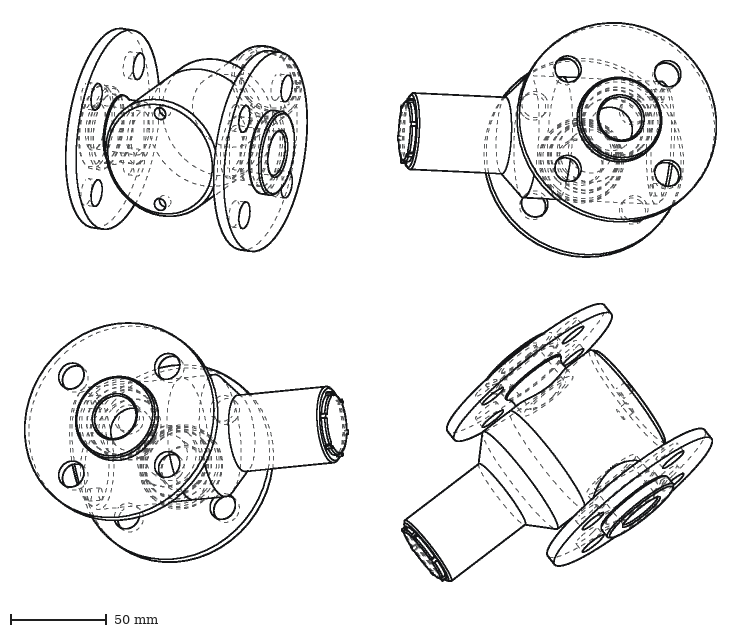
import cadquery as cq
import math


FLANGE_DIAMETER = 105.0
FLANGE_INNER_X = 39.3
FLANGE_OUTER_X = 45.3
FLANGE_BORE = 36.5
BOLT_HOLE_DIAMETER = 14.0
BOLT_SPACING = 53.1

BODY_DIAMETER = 64.0
BODY_BOTTOM_Y = -33.2
BODY_CHAMFER = 2.0
SPLIT_Y = 21.5
CONE_START_Y = 39.3
STEM_DIAMETER = 40.0
STEM_CHAMFER = 1.1
PIN_HOLE_DIAMETER = 6.5
PIN_HOLE_OFFSET = 25.0
PIN_HOLE_DEPTH = 6.3

OVERALL_LENGTH = 156.7
CAP_TOP_Y = OVERALL_LENGTH - FLANGE_DIAMETER / 2
CAP_HEIGHT = 2.8
CAP_DIAMETER = 32.1
CAP_CHAMFER = 1.0
RIB_COUNT = 6
RIB_REACH = 17.2
RIB_WIDTH = 2.2
STEM_TOP_Y = CAP_TOP_Y - CAP_HEIGHT

OVERALL_WIDTH = 104.5
STUB_OUTER_X = OVERALL_WIDTH / 2
STUB_SEAT_X = 26.6
PIPE_DIAMETER = 32.8
PIPE_END_X = 35.3
NECK_DIAMETER = 36.0
NECK_START_X = 38.5
COLLAR_DIAMETER = 44.0
COLLAR_CHAMFER = 1.0
BORE_DIAMETER = 23.0
BORE_CHAMFER = 1.0


def y_cylinder(diameter, start_y, end_y):
    """Cylinder on the stem axis between two heights along Y."""
    base = cq.Workplane("XZ", origin=(0, start_y, 0))
    return base.circle(diameter / 2).extrude(start_y - end_y)


def x_cylinder(diameter, start_x, end_x):
    """Cylinder on the flow axis between two places along X."""
    base = cq.Workplane("YZ", origin=(start_x, 0, 0))
    return base.circle(diameter / 2).extrude(end_x - start_x)


def make_housing():
    """Cylinder with two blind pin holes underneath and a flat-bottomed stub socket on each side."""
    body = y_cylinder(BODY_DIAMETER, BODY_BOTTOM_Y, SPLIT_Y)
    body = body.faces("<Y").chamfer(BODY_CHAMFER)
    pin_hole = y_cylinder(PIN_HOLE_DIAMETER, BODY_BOTTOM_Y, BODY_BOTTOM_Y + PIN_HOLE_DEPTH)
    for side in (-1, 1):
        body = body.cut(pin_hole.translate((0, 0, side * PIN_HOLE_OFFSET)))
        body = body.cut(x_cylinder(PIPE_DIAMETER, side * STUB_SEAT_X, side * STUB_OUTER_X))
    return body


def make_bonnet():
    """Turned bonnet: a wide rim, a cone and a long stem with a chamfered end."""
    body_radius = BODY_DIAMETER / 2
    stem_radius = STEM_DIAMETER / 2
    cone_height = body_radius - stem_radius
    outline = (
        cq.Workplane("XY")
        .moveTo(0, SPLIT_Y)
        .lineTo(body_radius, SPLIT_Y)
        .lineTo(body_radius, CONE_START_Y)
        .lineTo(stem_radius, CONE_START_Y + cone_height)
        .lineTo(stem_radius, STEM_TOP_Y - STEM_CHAMFER)
        .lineTo(stem_radius - STEM_CHAMFER, STEM_TOP_Y)
        .lineTo(0, STEM_TOP_Y)
        .close()
    )
    return outline.revolve(360, (0, 0, 0), (0, 1, 0))


def make_cap():
    """Low disc with a chamfered top edge and radial ribs around it."""
    cap = y_cylinder(CAP_DIAMETER, STEM_TOP_Y, CAP_TOP_Y)
    cap = cap.faces(">Y").chamfer(CAP_CHAMFER)
    rib = (
        cq.Workplane("XY")
        .box(RIB_REACH, CAP_HEIGHT, RIB_WIDTH, centered=(False, False, True))
        .translate((0, STEM_TOP_Y, 0))
    )
    for index in range(RIB_COUNT):
        angle = index * 360 / RIB_COUNT
        cap = cap.union(rib.rotate((0, 0, 0), (0, 1, 0), angle))
    return cap


def make_stub(side):
    """Bored pipe stub with a neck for the loose flange and a collar outside it."""
    pipe_radius = PIPE_DIAMETER / 2
    neck_radius = NECK_DIAMETER / 2
    collar_radius = COLLAR_DIAMETER / 2
    bore_radius = BORE_DIAMETER / 2
    run = NECK_START_X - PIPE_END_X
    rise = neck_radius - pipe_radius
    arc_radius = (run**2 + rise**2) / (2 * rise)
    half_angle = math.asin(run / arc_radius) / 2
    arc_middle = (
        PIPE_END_X + arc_radius * math.sin(half_angle),
        pipe_radius + arc_radius * (1 - math.cos(half_angle)),
    )
    outline = (
        cq.Workplane("XY")
        .moveTo(STUB_SEAT_X, bore_radius)
        .lineTo(STUB_SEAT_X, pipe_radius)
        .lineTo(PIPE_END_X, pipe_radius)
        .threePointArc(arc_middle, (NECK_START_X, neck_radius))
        .lineTo(FLANGE_OUTER_X, neck_radius)
        .lineTo(FLANGE_OUTER_X, collar_radius - COLLAR_CHAMFER)
        .lineTo(FLANGE_OUTER_X + COLLAR_CHAMFER, collar_radius)
        .lineTo(STUB_OUTER_X - COLLAR_CHAMFER, collar_radius)
        .lineTo(STUB_OUTER_X, collar_radius - COLLAR_CHAMFER)
        .lineTo(STUB_OUTER_X, bore_radius + BORE_CHAMFER)
        .lineTo(STUB_OUTER_X - BORE_CHAMFER, bore_radius)
        .close()
    )
    stub = outline.revolve(360, (0, 0, 0), (1, 0, 0))
    return stub if side > 0 else stub.mirror("YZ")


def make_flange(side):
    """Plain disc with a central bore and four bolt holes on a square."""
    flange = x_cylinder(FLANGE_DIAMETER, side * FLANGE_INNER_X, side * FLANGE_OUTER_X)
    flange = flange.cut(x_cylinder(FLANGE_BORE, side * FLANGE_INNER_X, side * FLANGE_OUTER_X))
    bolt_hole = x_cylinder(BOLT_HOLE_DIAMETER, side * FLANGE_INNER_X, side * FLANGE_OUTER_X)
    for y_side in (-1, 1):
        for z_side in (-1, 1):
            offset = (0, y_side * BOLT_SPACING / 2, z_side * BOLT_SPACING / 2)
            flange = flange.cut(bolt_hole.translate(offset))
    return flange


housing = make_housing()
bonnet = make_bonnet()
cap = make_cap()
stubs = [make_stub(side) for side in (-1, 1)]
flanges = [make_flange(side) for side in (-1, 1)]

result = cq.Compound.makeCompound(
    [
        housing.val(),
        bonnet.val(),
        cap.val(),
        *[stub.val() for stub in stubs],
        *[flange.val() for flange in flanges],
    ]
)